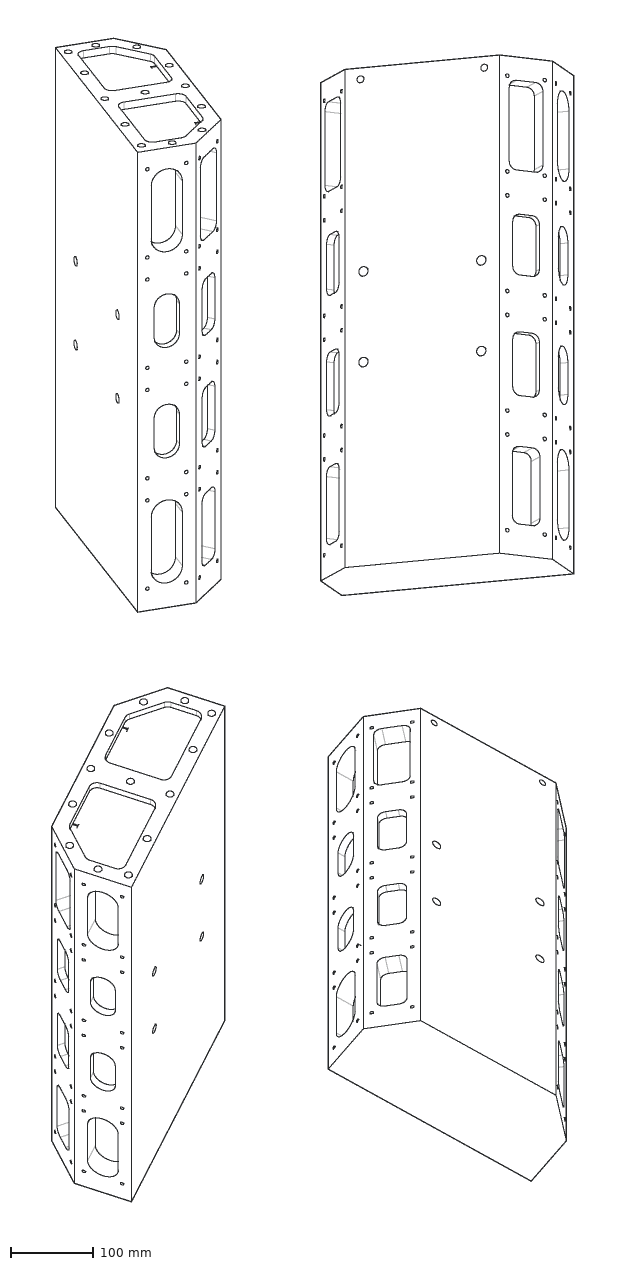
import cadquery as cq
import math

WIDTH = 300.0
DEPTH = 125.0
HEIGHT = 625.0
CHAMFER = 50.0
HALF_WIDTH = WIDTH / 2
HALF_DEPTH = DEPTH / 2

WALL = 19.5
CENTER_RIB = 33.0
POCKET_DEPTH = 10.0
POCKET_CORNER_RADIUS = 10.0

DRILL_POINT_ANGLE = 118.0

TOP_HOLE_DIAMETER = 9.5
TOP_HOLE_DEPTH = 20.0
EDGE_MARGIN = 10.5
FRONT_ROW_X = (74.0, 134.0)
REAR_ROW_X = 59.0
CHAMFER_HOLE = (119.0, 31.0)
SIDE_HOLE_Y = -14.5

REAR_HOLE_DIAMETER = 9.0
REAR_HOLE_DEPTH = 26.0
REAR_HOLE_X = 80.0
FLOOR_BREAKTHROUGH = 0.05

MOUNT_DIAMETER = 12.0
MOUNT_PITCH_X = 152.5
MOUNT_PITCH_Z = 114.0

LOWEST_STATION = 90.0
STATION_PITCH = 150.0
STATION_COUNT = 4
STATIONS = [LOWEST_STATION + STATION_PITCH * index for index in range(STATION_COUNT)]
SCREW_DIAMETER = 4.5
SCREW_DEPTH = 10.0
SCREW_PITCH_ACROSS = 50.0
SCREW_PITCH_Z = 120.0
DEEP_SLOT = 25.0
SHALLOW_SLOT = 10.0
SLOT_DEPTHS = (DEEP_SLOT, SHALLOW_SLOT, SHALLOW_SLOT, DEEP_SLOT)
LARGE_SIDE_SLOT = (40.0, 112.5)
SMALL_SIDE_SLOT = (32.5, 72.5)
SIDE_SLOTS = (LARGE_SIDE_SLOT, SMALL_SIDE_SLOT, SMALL_SIDE_SLOT, LARGE_SIDE_SLOT)

CHAMFER_SLOTS = ((37.0, 97.5, 88.0), (35.5, 80.0, 240.5), (35.5, 76.0, 390.0), (45.0, 112.5, 539.5))
CHAMFER_SLOT_RADIUS = 10.0


def half_outline(inner_x, outer_x, front_y, rear_y, chamfer):
    """Closed outline on the -X side with its outer rear corner cut off."""
    return [
        (-inner_x, front_y),
        (-outer_x, front_y),
        (-outer_x, rear_y - chamfer),
        (-outer_x + chamfer, rear_y),
        (-inner_x, rear_y),
    ]


def with_mirror(shape):
    """The shape together with its twin across the body's middle plane."""
    return shape.union(shape.mirror("YZ"))


def drill(points_on_plane, diameter, depth):
    """Blind holes at the selected points, each with a conical end past its full depth."""
    radius = diameter / 2
    point_length = radius / math.tan(math.radians(DRILL_POINT_ANGLE / 2))
    profile = [(0, 0), (radius, 0), (radius, -depth), (0, -depth - point_length)]
    hole = cq.Workplane("XZ").polyline(profile).close().revolve(360, (0, 0), (0, 1)).val()
    return points_on_plane.eachpoint(hole, useLocalCoordinates=True).combine()


def make_body():
    outline = half_outline(0, HALF_WIDTH, -HALF_DEPTH, HALF_DEPTH, CHAMFER)
    return with_mirror(cq.Workplane("XY").polyline(outline).close().extrude(HEIGHT))


def make_top_pocket():
    inner_chamfer = CHAMFER - WALL * (2 - 2 ** 0.5)
    outline = half_outline(
        CENTER_RIB / 2, HALF_WIDTH - WALL, -HALF_DEPTH + WALL, HALF_DEPTH - WALL, inner_chamfer
    )
    floor = cq.Workplane("XY").workplane(offset=HEIGHT - POCKET_DEPTH)
    pocket = floor.polyline(outline).close().extrude(POCKET_DEPTH)
    return pocket.edges("|Z").fillet(POCKET_CORNER_RADIUS)


def make_top_holes():
    front_y = -HALF_DEPTH + EDGE_MARGIN
    rear_y = HALF_DEPTH - EDGE_MARGIN
    center_holes = [(0, front_y), (0, 0), (0, rear_y)]
    side_holes = [(x, front_y) for x in FRONT_ROW_X]
    side_holes += [(REAR_ROW_X, rear_y), CHAMFER_HOLE, (HALF_WIDTH - EDGE_MARGIN, SIDE_HOLE_Y)]
    mirrored_holes = [(-x, y) for x, y in side_holes]
    top = cq.Workplane("XY").workplane(offset=HEIGHT)
    points = center_holes + side_holes + mirrored_holes
    return drill(top.pushPoints(points), TOP_HOLE_DIAMETER, TOP_HOLE_DEPTH)


def make_rear_hole():
    axis_z = HEIGHT - POCKET_DEPTH - REAR_HOLE_DIAMETER / 2 + FLOOR_BREAKTHROUGH
    rear = face_plane(-REAR_HOLE_X, HALF_DEPTH, (0, 1), axis_z)
    return drill(rear.pushPoints([(0, 0)]), REAR_HOLE_DIAMETER, REAR_HOLE_DEPTH)


def make_mounting_holes():
    front = cq.Workplane("XZ", origin=(0, -HALF_DEPTH, HEIGHT / 2))
    return front.rarray(MOUNT_PITCH_X, MOUNT_PITCH_Z, 2, 2).circle(MOUNT_DIAMETER / 2).extrude(-DEPTH)


def face_plane(x, y, outward, z):
    """Sketch plane on a vertical face: local X is horizontal, local Y is up."""
    across = (-outward[1], outward[0], 0)
    return cq.Workplane(cq.Plane(origin=(x, y, z), xDir=across, normal=(outward[0], outward[1], 0)))


def side_plane(z):
    return face_plane(-HALF_WIDTH, -CHAMFER / 2, (-1, 0), z)


def chamfer_plane(z):
    return face_plane(-HALF_WIDTH + CHAMFER / 2, HALF_DEPTH - CHAMFER / 2, (-1, 1), z)


def make_screw_holes(plane):
    pattern = plane.rarray(SCREW_PITCH_ACROSS, SCREW_PITCH_Z, 2, 2)
    return drill(pattern, SCREW_DIAMETER, SCREW_DEPTH)


def make_side_slot(width, height, depth, z):
    return side_plane(z).slot2D(height, width, 90).extrude(-depth)


def make_chamfer_slot(width, height, depth, z):
    outline = cq.Sketch().rect(width, height).vertices().fillet(CHAMFER_SLOT_RADIUS)
    return chamfer_plane(z).placeSketch(outline).extrude(-depth)


result = make_body()
result = result.cut(with_mirror(make_top_pocket()))
result = result.cut(make_top_holes())
result = result.cut(with_mirror(make_rear_hole()))
result = result.cut(make_mounting_holes())

for station, (width, height), depth in zip(STATIONS, SIDE_SLOTS, SLOT_DEPTHS):
    result = result.cut(with_mirror(make_side_slot(width, height, depth, station)))
    result = result.cut(with_mirror(make_screw_holes(side_plane(station))))
    result = result.cut(with_mirror(make_screw_holes(chamfer_plane(station))))

for (width, height, center_z), depth in zip(CHAMFER_SLOTS, SLOT_DEPTHS):
    result = result.cut(with_mirror(make_chamfer_slot(width, height, depth, center_z)))